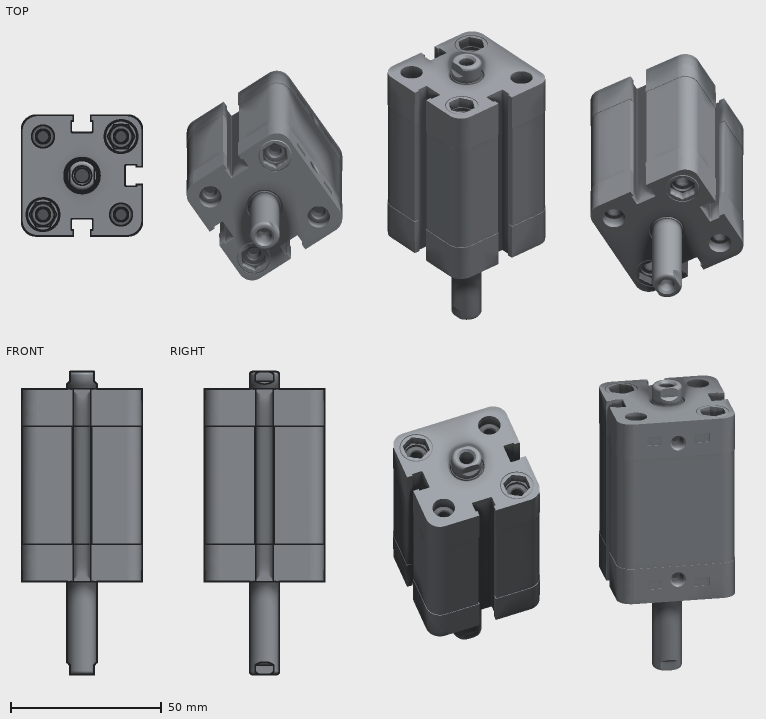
import cadquery as cq
import math


tube_width = 40.0
cap_width = 40.3
corner_radius = 5.0
cap_length = 12.5
tube_length = 39.2
cap_draft = 0.5

slot_mouth = 5.8
tube_slot_outer_mouth = 6.4
slot_inner_width = 7.1
slot_depth = 5.6
slot_lip = 1.9
slot_corner_radius = 0.3
slot_angles = (0, 90, -90)
slot_floor = tube_width / 2 - slot_depth
slot_overshoot = 1.0

hole_pitch = 26.0
thread_core = 4.13
thread_rim = 4.92
thread_end_depth = 10.0
corner_bore = 7.5
corner_bore_depth = 4.7
head_diameter = 11.1
head_top_diameter = 10.48
head_groove_depth = 0.3
hex_across_flats = 8.0
hex_relief_diameter = 8.2
hex_depth = 3.5

port_rim = 5.2
port_depth = 7.0
port_entry = 0.5
port_from_end = 7.7
label_width = 5.0
label_height = 3.1
label_depth = 0.2
label_offset = 8.0
label_from_end = 6.4

rod_diameter = 10.0
wiper_outer = 12.0
wiper_outer_floor = 11.4
wiper_inner_floor = 10.9
wiper_inner = 10.48
wiper_depth = 0.5

rod_length = 101.0
rod_below_housing = 31.0
rod_end_face = 7.5
rod_rounding_height = 1.0
rod_flats_width = 8.0
rod_flat_length = 3.2
rod_thread_core = 4.92
rod_thread_rim = 6.4
rod_thread_depth = 12.0


def block(width):
    """Rounded square section centred on the Z axis."""
    return cq.Sketch().rect(width, width).vertices().fillet(corner_radius)


def slot_cutter(length, outer_mouth):
    """Three T-slots, open towards +X, +Y and -Y, from Z = 0 to the length."""
    outside = tube_width / 2 + slot_overshoot
    lip_inside = tube_width / 2 - slot_lip
    channel = (
        cq.Workplane()
        .box(lip_inside - slot_floor, slot_inner_width, length, centered=(False, True, False))
        .edges("<X and |Z")
        .fillet(slot_corner_radius)
        .translate((slot_floor, 0, 0))
    )
    mouth = (
        cq.Workplane()
        .polyline([
            (lip_inside, -slot_mouth / 2),
            (tube_width / 2, -outer_mouth / 2),
            (outside, -outer_mouth / 2),
            (outside, outer_mouth / 2),
            (tube_width / 2, outer_mouth / 2),
            (lip_inside, slot_mouth / 2),
        ])
        .close()
        .extrude(length)
    )
    slot = channel.union(mouth)
    cutter = cq.Workplane()
    for angle in slot_angles:
        cutter = cutter.union(slot.rotate((0, 0, 0), (0, 0, 1), angle))
    return cutter


def threaded_hole(core, rim, depth):
    """Blind hole going down from Z = 0, with a 45 degree countersink."""
    countersink = (rim - core) / 2
    return (
        cq.Workplane("XZ")
        .polyline([(0, 0), (rim / 2, 0), (core / 2, -countersink), (core / 2, -depth), (0, -depth)])
        .close()
        .revolve(360, (0, 0), (0, 1))
    )


def corner_hole():
    """Counterbored threaded hole, its mouth at Z = 0."""
    bore = cq.Workplane().circle(corner_bore / 2).extrude(-corner_bore_depth)
    thread = threaded_hole(thread_core, thread_rim, thread_end_depth - corner_bore_depth)
    return bore.union(thread.translate((0, 0, -corner_bore_depth)))


def screw_head():
    """Hexagon socket and the chamfered rim groove of a screw head, its top at Z = 0."""
    hex_across_corners = hex_across_flats / math.cos(math.pi / 6)
    hexagon = cq.Workplane().polygon(6, hex_across_corners).extrude(-hex_depth)
    socket = hexagon.union(cq.Workplane().circle(hex_relief_diameter / 2).extrude(-hex_depth))
    groove = (
        cq.Workplane("XZ")
        .polyline([
            (head_top_diameter / 2, 0),
            (head_diameter / 2, 0),
            (head_diameter / 2, -head_groove_depth),
        ])
        .close()
        .revolve(360, (0, 0), (0, 1))
    )
    return socket.union(groove)


def wiper_groove():
    """Shallow tapered ring groove around the rod, its mouth at Z = 0."""
    return (
        cq.Workplane("XZ")
        .polyline([
            (wiper_outer / 2, 0),
            (wiper_outer_floor / 2, -wiper_depth),
            (wiper_inner_floor / 2, -wiper_depth),
            (wiper_inner / 2, 0),
        ])
        .close()
        .revolve(360, (0, 0), (0, 1))
    )


def side_face_x(from_end):
    """X of the drafted -X face of a cap, at a distance from its outer end."""
    from_joint = cap_length - from_end
    return -cap_width / 2 + from_joint * math.tan(math.radians(cap_draft))


def make_cap():
    """End cap with its joint face at Z = 0 and its outer face at Z = cap_length."""
    cap = cq.Workplane().placeSketch(block(cap_width)).extrude(cap_length, taper=cap_draft)
    cap = cap.cut(slot_cutter(cap_length, slot_mouth))
    cap = cap.cut(cq.Workplane().circle(rod_diameter / 2).extrude(cap_length))
    cap = cap.cut(wiper_groove().translate((0, 0, cap_length)))

    for side_x in (-1, 1):
        for side_y in (-1, 1):
            place = (side_x * hole_pitch / 2, side_y * hole_pitch / 2, cap_length)
            cap = cap.cut(corner_hole().translate(place))
            if side_x == side_y:
                cap = cap.cut(screw_head().translate(place))

    port = threaded_hole(thread_core, port_rim, port_depth).rotate((0, 0, 0), (0, 1, 0), -90)
    entry = cq.Workplane("YZ").circle(port_rim / 2).extrude(-port_entry)
    cap = cap.cut(port.union(entry).translate((side_face_x(port_from_end), 0, cap_length - port_from_end)))

    label = cq.Workplane().box(2 * label_depth, label_width, label_height)
    for side_y in (-1, 1):
        place = (side_face_x(label_from_end), side_y * label_offset, cap_length - label_from_end)
        cap = cap.cut(label.translate(place))
    return cap


def make_tube():
    """Profile tube from Z = 0, with a passage for the rod."""
    tube = cq.Workplane().placeSketch(block(tube_width)).extrude(tube_length)
    tube = tube.cut(slot_cutter(tube_length, tube_slot_outer_mouth))
    return tube.cut(cq.Workplane().circle(rod_diameter / 2).extrude(tube_length))


def rod_end_cutter():
    """Material removed at the rod end at Z = 0: wrench flats and threaded hole."""
    radius = rod_diameter / 2
    half_flats = rod_flats_width / 2
    runout = radius - half_flats
    flat = (
        cq.Workplane("XZ")
        .polyline([
            (half_flats, 0),
            (radius, 0),
            (radius, -rod_flat_length - runout),
            (half_flats, -rod_flat_length),
        ])
        .close()
        .extrude(radius, both=True)
    )
    cutter = threaded_hole(rod_thread_core, rod_thread_rim, rod_thread_depth)
    return cutter.union(flat).union(flat.mirror("YZ"))


def make_rod():
    """Piston rod from Z = 0 upwards, both ends alike."""
    radius = rod_diameter / 2
    half_length = rod_length / 2
    lower_half = (
        cq.Workplane("XZ")
        .lineTo(rod_end_face / 2, 0)
        .tangentArcPoint((radius, rod_rounding_height), relative=False)
        .lineTo(radius, half_length)
        .lineTo(0, half_length)
        .close()
        .revolve(360, (0, 0), (0, 1))
        .cut(rod_end_cutter().mirror("XY"))
    )
    upper_half = lower_half.mirror("XY").translate((0, 0, rod_length))
    return lower_half.union(upper_half)


tube = make_tube().translate((0, 0, cap_length))
upper_cap = make_cap().translate((0, 0, cap_length + tube_length))
lower_cap = make_cap().rotate((0, 0, 0), (1, 0, 0), 180).translate((0, 0, cap_length))
rod = make_rod().translate((0, 0, -rod_below_housing))

result = cq.Compound.makeCompound([tube.val(), upper_cap.val(), lower_cap.val(), rod.val()])